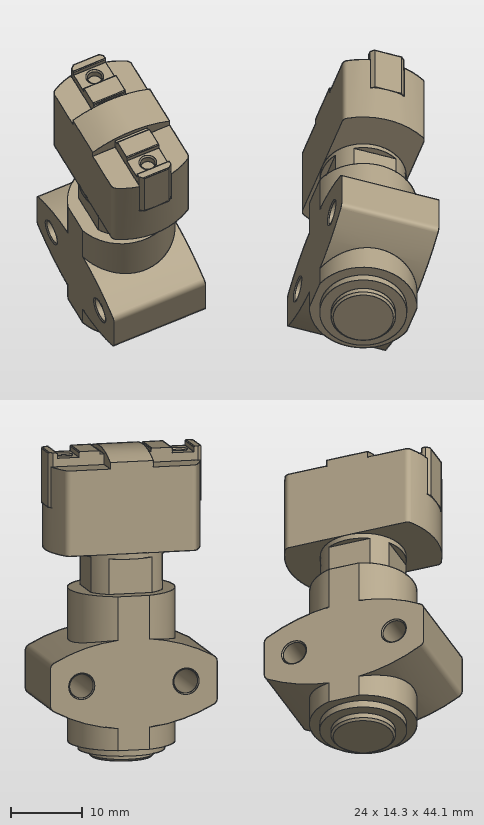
import cadquery as cq

SEAT_Z = 1.05
BARREL_Z = 2.1
FLANGE_Z = 11.52
BARREL_TOP_Z = 23.97
COLLAR_Z = 29.0
HEAD_Z = 29.8
LEDGE_Z = 41.95
HEAD_TOP_Z = 44.15

SPIGOT_DIAMETER = 9.0
SPIGOT_CHAMFER = 0.3
SEAT_DIAMETER = 12.15
BARREL_DIAMETER = 15.0
BODY_DEPTH = 14.3
STEM_DIAMETER = 12.0
STEM_FLATS = 10.3

FLANGE_WIDTH = 24.0
FLANGE_HEIGHT = 12.75
FLANGE_ARCH_RADIUS = 24.05
FLANGE_CORNER_RADIUS = 1.0
MOUNT_SPACING = 15.0
MOUNT_DIAMETER = 3.4
MOUNT_CHAMFER = 0.18

HEAD_DIAMETER = 22.0
HEAD_DEPTH = STEM_DIAMETER
HEAD_CORNER_RADIUS = 0.9
BRIDGE_WIDTH = 6.2
BRIDGE_RISE = 1.3

TERMINAL_WIDTH = 5.0
TERMINAL_CORNER_CUT = 0.57
TERMINAL_TOP_Z = 43.95
NOTCH_Z = 43.45
LEG_Z = 36.1
PLATE_THICKNESS = 1.2
NOTCH_LENGTH = 0.57
BLOCK_LENGTH = 3.05
TERMINAL_CHAMFER = 0.15
SCREW_DIAMETER = 2.05
SCREW_RIM_DIAMETER = 2.47

TERMINAL_OUTER_X = HEAD_DIAMETER / 2
TERMINAL_INNER_X = BRIDGE_WIDTH / 2
LEG_INNER_X = TERMINAL_OUTER_X - PLATE_THICKNESS
BLOCK_INNER_X = TERMINAL_INNER_X + NOTCH_LENGTH
BLOCK_OUTER_X = BLOCK_INNER_X + BLOCK_LENGTH
SCREW_X = (BLOCK_OUTER_X + LEG_INNER_X) / 2
SCREW_SEAT_Z = LEDGE_Z + PLATE_THICKNESS


def disc(diameter, bottom, top):
    """Upright cylinder on the Z axis between two heights."""
    return cq.Workplane("XY").workplane(offset=bottom).circle(diameter / 2).extrude(top - bottom)


def square_bar(width, depth, bottom, top):
    """Upright rectangular bar on the Z axis between two heights."""
    return cq.Workplane("XY").workplane(offset=bottom).rect(width, depth).extrude(top - bottom)


def flange():
    """Plate with arched top and bottom edges and rounded corners."""
    half_width = FLANGE_WIDTH / 2
    half_height = FLANGE_HEIGHT / 2
    arch_drop = FLANGE_ARCH_RADIUS - (FLANGE_ARCH_RADIUS**2 - half_width**2) ** 0.5
    end_height = half_height - arch_drop
    return (
        cq.Workplane("XZ", origin=(0, 0, FLANGE_Z))
        .moveTo(-half_width, -end_height)
        .threePointArc((0, -half_height), (half_width, -end_height))
        .lineTo(half_width, end_height)
        .threePointArc((0, half_height), (-half_width, end_height))
        .close()
        .extrude(BODY_DEPTH / 2, both=True)
        .edges("|Y")
        .fillet(FLANGE_CORNER_RADIUS)
    )


def mount_hole(x):
    """Cutter for a hole from front to back through the flange, chamfered at both ends."""
    radius = MOUNT_DIAMETER / 2
    rim_radius = radius + MOUNT_CHAMFER
    half_depth = BODY_DEPTH / 2
    profile = [
        (0, -half_depth),
        (rim_radius, -half_depth),
        (radius, -half_depth + MOUNT_CHAMFER),
        (radius, half_depth - MOUNT_CHAMFER),
        (rim_radius, half_depth),
        (0, half_depth),
    ]
    hole = cq.Workplane("XY").polyline(profile).close().revolve(360, (0, 0), (0, 1))
    return hole.translate((x, 0, FLANGE_Z))


def make_body():
    """Metal body: spigot, seat ring, flanged barrel, square stem and collar."""
    spigot = disc(SPIGOT_DIAMETER, 0, SEAT_Z).faces("<Z").chamfer(SPIGOT_CHAMFER)
    seat = disc(SEAT_DIAMETER, SEAT_Z, BARREL_Z)
    barrel = disc(BARREL_DIAMETER, BARREL_Z, BARREL_TOP_Z).intersect(
        square_bar(BARREL_DIAMETER, BODY_DEPTH, BARREL_Z, BARREL_TOP_Z)
    )
    stem = disc(STEM_DIAMETER, BARREL_TOP_Z, COLLAR_Z).intersect(
        square_bar(STEM_FLATS, STEM_FLATS, BARREL_TOP_Z, COLLAR_Z)
    )
    collar = disc(STEM_DIAMETER, COLLAR_Z, HEAD_Z)
    metal_body = barrel.union(flange()).union(seat).union(spigot).union(stem).union(collar)
    for x in (-MOUNT_SPACING / 2, MOUNT_SPACING / 2):
        metal_body = metal_body.cut(mount_hole(x))
    return metal_body


def bridge():
    """Raised middle of the head, with a top that arches from front to back."""
    side_z = HEAD_TOP_Z - BRIDGE_RISE
    return (
        cq.Workplane("YZ")
        .moveTo(-HEAD_DEPTH / 2, LEDGE_Z)
        .lineTo(HEAD_DEPTH / 2, LEDGE_Z)
        .lineTo(HEAD_DEPTH / 2, side_z)
        .threePointArc((0, HEAD_TOP_Z), (-HEAD_DEPTH / 2, side_z))
        .close()
        .extrude(BRIDGE_WIDTH / 2, both=True)
    )


def terminal_outline():
    """Side outline of the terminal at +X: leg, screw seat, raised block and notch."""
    return [
        (TERMINAL_INNER_X, LEDGE_Z),
        (LEG_INNER_X, LEDGE_Z),
        (LEG_INNER_X, LEG_Z),
        (TERMINAL_OUTER_X, LEG_Z),
        (TERMINAL_OUTER_X, TERMINAL_TOP_Z),
        (LEG_INNER_X, TERMINAL_TOP_Z),
        (LEG_INNER_X, SCREW_SEAT_Z),
        (BLOCK_OUTER_X, SCREW_SEAT_Z),
        (BLOCK_OUTER_X, TERMINAL_TOP_Z),
        (BLOCK_INNER_X, TERMINAL_TOP_Z),
        (BLOCK_INNER_X, NOTCH_Z),
        (TERMINAL_INNER_X, NOTCH_Z),
    ]


def make_terminal(angle):
    """L-shaped screw terminal, turned about the Z axis to its end of the head."""
    plate = (
        cq.Workplane("XZ")
        .polyline(terminal_outline())
        .close()
        .extrude(TERMINAL_WIDTH / 2, both=True)
    )
    plate = plate.faces(">Z").edges("|Y").chamfer(TERMINAL_CHAMFER)
    plate = plate.faces(">X").edges("|Z").chamfer(TERMINAL_CORNER_CUT)
    screw_hole = (
        cq.Workplane("XY", origin=(SCREW_X, 0, LEDGE_Z))
        .circle(SCREW_DIAMETER / 2)
        .extrude(PLATE_THICKNESS)
    )
    rim_depth = (SCREW_RIM_DIAMETER - SCREW_DIAMETER) / 2
    rim = (
        cq.Workplane("XY", origin=(SCREW_X, 0, SCREW_SEAT_Z))
        .circle(SCREW_RIM_DIAMETER / 2)
        .extrude(-rim_depth, taper=45)
    )
    return plate.cut(screw_hole).cut(rim).rotate((0, 0, 0), (0, 0, 1), angle)


def leg_slots():
    """Cutters for the square-cornered slots in the round ends that hold the terminal legs."""
    slots = cq.Workplane("XY", origin=(0, 0, LEG_Z))
    slots = slots.pushPoints([(-TERMINAL_OUTER_X, 0), (TERMINAL_OUTER_X, 0)])
    return slots.rect(2 * PLATE_THICKNESS, TERMINAL_WIDTH).extrude(LEDGE_Z - LEG_Z)


def make_head():
    """Plastic head with round ends, a bridge on top and a slot for each terminal leg."""
    head = disc(HEAD_DIAMETER, HEAD_Z, LEDGE_Z).intersect(
        square_bar(HEAD_DIAMETER, HEAD_DEPTH, HEAD_Z, LEDGE_Z)
    )
    head = head.edges("|Z").fillet(HEAD_CORNER_RADIUS)
    return head.union(bridge()).cut(leg_slots())


body = make_body()
head = make_head()
terminals = [make_terminal(angle) for angle in (0, 180)]

result = cq.Compound.makeCompound(
    [body.val(), head.val(), *[terminal.val() for terminal in terminals]]
)